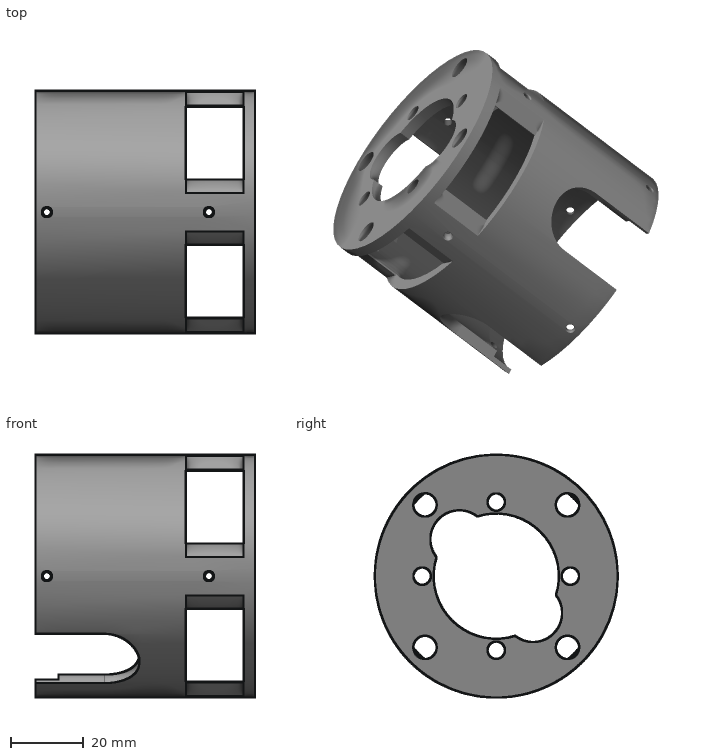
import cadquery as cq
import math

INCH = 25.4

length = 2.375 * INCH
outer_radius = 1.3125 * INCH
plate_thickness = 0.125 * INCH
bore_radius = outer_radius - 0.125 * INCH

seat_depth = 0.25 * INCH
seat_radius = 31.95

window_length = 0.625 * INCH
window_end = length - plate_thickness
window_flat_distance = 1.0625 * INCH
window_opening_width = 1.125 * INCH

slot_width = 0.75 * INCH
slot_radius = slot_width / 2
slot_centre_x = 0.75 * INCH

screw_positions = (0.125 * INCH, 1.875 * INCH)
screw_hole_diameter = 2.26
countersink_diameter = 2.8

centre_opening_radius = 0.675 * INCH
lobe_radius = 0.3125 * INCH
lobe_offset = 0.5625 * INCH
axis_hole_offset = 0.8 * INCH
axis_hole_radius = 2.35
diagonal_hole_offset = 27.65
diagonal_hole_radius = 0.125 * INCH

quarter_turns = (0, 90, 180, 270)
diagonals = (45, 135, 225, 315)
lobe_angles = (135, 315)
slot_angles = (225, 315)


def cylinder_along_x(radius, start, end, offset=0.0, angle=0.0):
    """Cylinder parallel to X, set off from the axis; the angle runs from +Y towards +Z."""
    y = offset * math.cos(math.radians(angle))
    z = offset * math.sin(math.radians(angle))
    return cq.Workplane("YZ", origin=(start, y, z)).circle(radius).extrude(end - start)


def turned(body, angle):
    """Turn a body about the X axis."""
    return body.rotate((0, 0, 0), (1, 0, 0), angle)


def make_shell():
    shell = cylinder_along_x(outer_radius, 0, length)
    shell = shell.cut(cylinder_along_x(bore_radius, 0, window_end))
    return shell.cut(cylinder_along_x(seat_radius, 0, seat_depth))


def make_window():
    """Cutter pointing along +Y: a flat milled into the wall and a narrower opening through it."""
    window_start = cq.Workplane("XY", origin=(window_end - window_length, 0, 0))
    box_centering = (False, False, True)
    opening = window_start.box(window_length, outer_radius, window_opening_width, centered=box_centering)
    flat = window_start.box(window_length, outer_radius, 2 * outer_radius, centered=box_centering)
    return opening.union(flat.translate((0, window_flat_distance, 0)))


def make_slot():
    """Round-ended cutter pointing along +Y."""
    return (
        cq.Workplane("XZ")
        .moveTo(0, slot_radius)
        .lineTo(slot_centre_x, slot_radius)
        .threePointArc((slot_centre_x + slot_radius, 0), (slot_centre_x, -slot_radius))
        .lineTo(0, -slot_radius)
        .close()
        .extrude(-outer_radius)
    )


def make_screw_hole(x):
    """Screw hole pointing along +Y, with a 45 degree countersink on the outside."""
    hole_radius = screw_hole_diameter / 2
    sink_radius = countersink_diameter / 2
    hole = cq.Workplane("XZ", origin=(x, 0, 0)).circle(hole_radius).extrude(-outer_radius)
    rim_centre = cq.Vector(x, outer_radius, 0)
    inward = cq.Vector(0, -1, 0)
    sink = cq.Solid.makeCone(sink_radius, hole_radius, sink_radius - hole_radius, rim_centre, inward)
    return hole.union(cq.Workplane(sink))


def make_plate_openings():
    openings = cylinder_along_x(centre_opening_radius, window_end, length)
    for angle in lobe_angles:
        openings = openings.union(cylinder_along_x(lobe_radius, window_end, length, lobe_offset, angle))
    for angle in quarter_turns:
        openings = openings.union(
            cylinder_along_x(axis_hole_radius, window_end, length, axis_hole_offset, angle))
    for angle in diagonals:
        openings = openings.union(
            cylinder_along_x(diagonal_hole_radius, window_end, length, diagonal_hole_offset, angle))
    return openings


result = make_shell().cut(make_plate_openings())
for angle in diagonals:
    result = result.cut(turned(make_window(), angle))
for angle in slot_angles:
    result = result.cut(turned(make_slot(), angle))
for angle in quarter_turns:
    for x in screw_positions:
        result = result.cut(turned(make_screw_hole(x), angle))